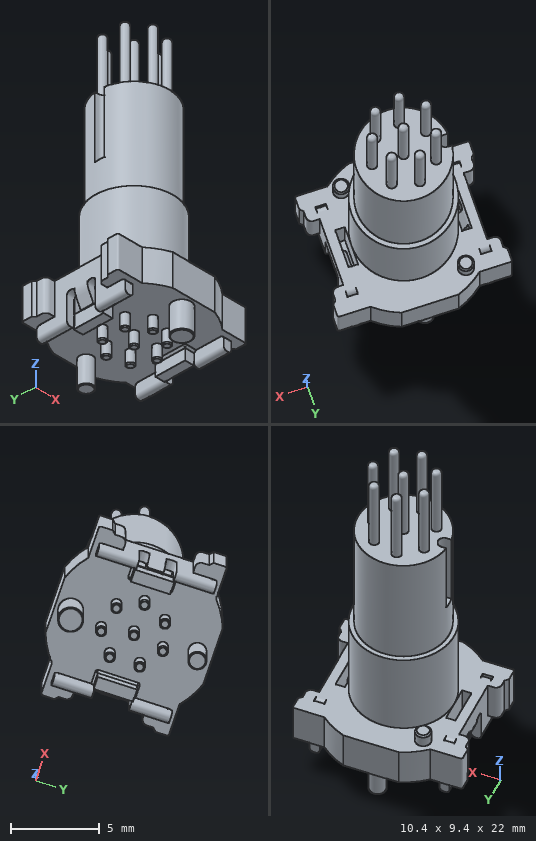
import cadquery as cq
import math

base_height = 2.45
base_length = 10.4
base_width = 9.4
base_round_radius = 5.0
arms_width = 7.6
arm_corner_radius = 0.12
arm_step = 0.2
arm_step_y = 3.0
arm_tip_radius = 0.35
arm_gap_width = 4.16

clip_outer_x = 4.29
clip_thickness = 0.62
clip_inner_x = clip_outer_x - clip_thickness
clip_width = 5.66
clip_corner_radius = 0.35
clip_drop = 1.0
foot_width = 6.98
foot_corner_radius = 0.25
foot_edge_radius = 0.27
window_width = 2.22
window_top = 1.24
window_corner_radius = 0.25

tongue_width = 1.0
tongue_root_z = 1.18
tongue_bend_z = 0.66
tongue_tip_z = -0.08
tongue_lean_angle = math.radians(27)
tongue_corner_radius = 0.12

pocket_inner_x = 3.1
pocket_width = 2.34
pocket_floor_rise = 0.25
block_inner_x = 2.93
block_root_flare = 0.15
flare_angle = 45

lower_body_radius = 3.1
lower_body_top = 7.95
upper_body_radius = 2.8
upper_body_top = 15.3
keyway_width = 0.74
keyway_inner_x = 2.12
keyway_floor = 10.5

pin_radius = 0.3
pin_top = 19.95
pin_bottom = -1.0
pin_tip_radius = 0.2
pin_tail_chamfer = 0.08
pin_circle_radius = 1.87
pin_pitch_angle = 50.5
pins_each_side = 3

post_drop = 2.05
post_y = 3.77
front_post_radius = 0.72
rear_post_radius = 0.52
post_chamfer = 0.06
peg_radius = 0.47
peg_height = 0.8
peg_chamfer = 0.1
peg_x = 2.6
peg_y = 3.3


def box_between(x_start, x_end, width, z_start, z_end):
    """Box centred on Y = 0."""
    return (
        cq.Workplane("XY")
        .box(x_end - x_start, width, z_end - z_start, centered=(False, True, False))
        .translate((x_start, 0, z_start))
    )


def cylinder(x, y, radius, z_start, z_end):
    return cq.Workplane("XY", origin=(x, y, z_start)).circle(radius).extrude(z_end - z_start)


def both_ends(feature):
    """The -X feature together with its mirror image at the +X end."""
    return feature.union(feature.mirror("YZ"))


def make_arms():
    """Four arms joined by the middle of the base."""
    tip_x = base_length / 2
    inset_x = tip_x - arm_step
    gap_y = arm_gap_width / 2
    arm = (
        cq.Workplane("XY")
        .moveTo(0, 0)
        .lineTo(clip_outer_x, 0)
        .lineTo(clip_outer_x, gap_y)
        .lineTo(inset_x - arm_tip_radius, gap_y)
        .radiusArc((inset_x, gap_y + arm_tip_radius), -arm_tip_radius)
        .lineTo(inset_x, arm_step_y - arm_step)
        .lineTo(tip_x, arm_step_y)
        .lineTo(tip_x, arms_width / 2 - arm_corner_radius)
        .radiusArc((tip_x - arm_corner_radius, arms_width / 2), -arm_corner_radius)
        .lineTo(0, arms_width / 2)
        .close()
        .extrude(base_height)
    )
    half = arm.union(arm.mirror("XZ"))
    return half.union(half.mirror("YZ"))


def make_base():
    middle = cylinder(0, 0, base_round_radius, 0, base_height)
    middle = middle.intersect(box_between(-clip_outer_x, clip_outer_x, base_width, 0, base_height))
    base = make_arms().union(middle)
    gap = box_between(-base_length / 2, -clip_outer_x, arm_gap_width, 0, base_height)
    clip_slot = box_between(-clip_outer_x, -clip_inner_x, clip_width, 0, base_height)
    pocket = (
        cq.Workplane("XZ", origin=(0, pocket_width / 2, 0))
        .moveTo(-clip_inner_x, 0)
        .lineTo(-pocket_inner_x, pocket_floor_rise)
        .lineTo(-pocket_inner_x, base_height)
        .lineTo(-clip_inner_x, base_height)
        .close()
        .extrude(pocket_width)
    )
    return base.cut(both_ends(gap.union(clip_slot).union(pocket)))


def make_blocks():
    """Blocks below the pockets, flared where they meet the base."""
    block = box_between(-clip_inner_x, -block_inner_x, pocket_width, -clip_drop, 0)
    flare = (
        cq.Workplane("XY", origin=(-(clip_inner_x + block_inner_x) / 2, 0, -block_root_flare))
        .rect(clip_inner_x - block_inner_x, pocket_width)
        .extrude(block_root_flare, taper=-flare_angle)
    )
    flare = flare.intersect(box_between(-clip_inner_x, 0, foot_width, -clip_drop, 0))
    return both_ends(block.union(flare))


def make_tongue():
    """Tongue that curves away from the plate and then runs straight to its tip."""
    lean_sine = math.sin(tongue_lean_angle)
    lean_cosine = math.cos(tongue_lean_angle)
    outer_radius = (tongue_root_z - tongue_bend_z) / lean_sine
    inner_radius = outer_radius - clip_thickness
    bend_centre_x = outer_radius - clip_outer_x
    outer_bend_x = bend_centre_x - outer_radius * lean_cosine
    inner_bend_x = bend_centre_x - inner_radius * lean_cosine
    inner_bend_z = tongue_root_z - inner_radius * lean_sine
    tip_outer_x = outer_bend_x + (tongue_bend_z - tongue_tip_z) * math.tan(tongue_lean_angle)
    tip_inner_x = tip_outer_x + clip_thickness * lean_cosine
    tip_inner_z = tongue_tip_z + clip_thickness * lean_sine
    tongue = (
        cq.Workplane("XZ", origin=(0, tongue_width / 2, 0))
        .moveTo(-clip_outer_x, tongue_root_z)
        .radiusArc((outer_bend_x, tongue_bend_z), -outer_radius)
        .lineTo(tip_outer_x, tongue_tip_z)
        .lineTo(tip_inner_x, tip_inner_z)
        .lineTo(inner_bend_x, inner_bend_z)
        .radiusArc((-clip_inner_x, tongue_root_z), inner_radius)
        .close()
        .extrude(tongue_width)
    )
    tip_edges = cq.selectors.BoxSelector(
        (-clip_outer_x, -tongue_width, tongue_tip_z - tongue_corner_radius),
        (0, tongue_width, tip_inner_z),
    )
    return tongue.edges(tip_edges).edges("not |Y").fillet(tongue_corner_radius)


def make_window():
    """Opening around the tongue, with a round-topped slit on each side of its root."""
    window = box_between(-clip_outer_x, -clip_inner_x, tongue_width, -clip_drop, tongue_root_z)
    slit_width = (window_width - tongue_width) / 2
    slit_y = (window_width + tongue_width) / 4
    slit = box_between(-clip_outer_x, -clip_inner_x, slit_width, -clip_drop, window_top)
    slit = slit.faces(">Z").edges("|X").fillet(window_corner_radius)
    for side in (-1, 1):
        window = window.union(slit.translate((0, side * slit_y, 0)))
    return window


def make_clips():
    plate = box_between(-clip_outer_x, -clip_inner_x, clip_width, 0, base_height)
    plate = plate.faces(">Z").edges("|X").fillet(clip_corner_radius)
    foot = box_between(-clip_outer_x, -clip_inner_x, foot_width, -clip_drop, 0)
    foot = foot.faces(">Z").edges("|X").fillet(foot_corner_radius)
    foot = foot.faces("<Z").edges("|Y").fillet(foot_edge_radius)
    return both_ends(plate.union(foot).cut(make_window()).union(make_tongue()))


def make_body():
    lower = cylinder(0, 0, lower_body_radius, base_height, lower_body_top)
    upper = cylinder(0, 0, upper_body_radius, lower_body_top, upper_body_top)
    round_x = -keyway_inner_x - keyway_width / 2
    keyway = box_between(-lower_body_radius, round_x, keyway_width, keyway_floor, upper_body_top)
    keyway = keyway.union(cylinder(round_x, 0, keyway_width / 2, keyway_floor, upper_body_top))
    return lower.union(upper.cut(keyway))


def make_pin(x, y):
    pin = cylinder(x, y, pin_radius, pin_bottom, pin_top)
    return pin.faces(">Z").edges().fillet(pin_tip_radius).faces("<Z").chamfer(pin_tail_chamfer)


def make_pins():
    pins = make_pin(0, 0)
    for step in range(-pins_each_side, pins_each_side + 1):
        angle = math.radians(step * pin_pitch_angle)
        x = pin_circle_radius * math.cos(angle)
        y = pin_circle_radius * math.sin(angle)
        pins = pins.union(make_pin(x, y))
    return pins


def make_posts():
    front = cylinder(0, -post_y, front_post_radius, -post_drop, 0)
    rear = cylinder(0, post_y, rear_post_radius, -post_drop, 0)
    return front.union(rear).faces("<Z").chamfer(post_chamfer)


def make_pegs():
    peg_top = base_height + peg_height
    left = cylinder(-peg_x, peg_y, peg_radius, base_height, peg_top)
    right = cylinder(peg_x, -peg_y, peg_radius, base_height, peg_top)
    return left.union(right).faces(">Z").chamfer(peg_chamfer)


result = make_base()
for feature in (make_blocks(), make_clips(), make_body(), make_pins(), make_posts(), make_pegs()):
    result = result.union(feature)